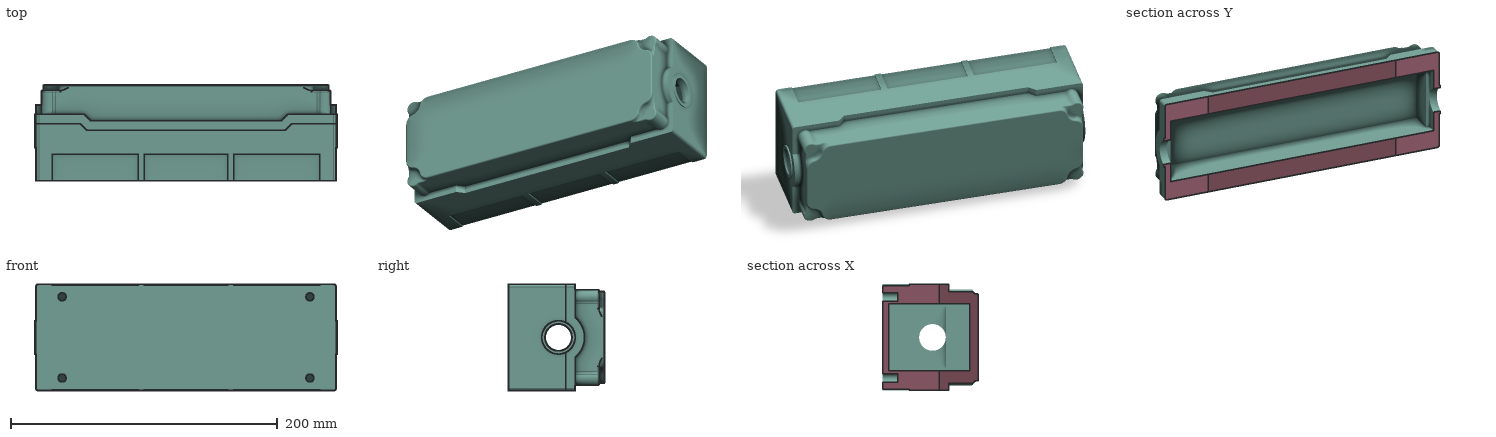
import cadquery as cq
import math

LENGTH = 227
HEIGHT = 80.0
DEPTH = 72.0
BOX_LENGTH = 225.0
BOX_CORNER_R = 2.0

FLANGE_Y = 50.0
FLANGE_WIDTH = 7.0
PARTING_Y = FLANGE_Y - FLANGE_WIDTH
STEP_DROP = 5.0
FLANGE_STEP_X = 76.3
PARTING_STEP_X = FLANGE_STEP_X + FLANGE_WIDTH * math.tan(math.pi / 8)

BORE_D = 20.0
BOSS_D = 25.0
ENTRY_Y = FLANGE_Y - BOSS_D / 2
HUMP_R = BOSS_D / 2 + FLANGE_WIDTH

BASE_WALL = 5.0
LID_WALL = 2.5
CAVITY_HEIGHT = 50.0

PANEL_RISE = 20.0
PANEL_DEPTH = 1.0
PANEL_EDGE_X = 100.0
PANEL_GAP = 4.8
MIDDLE_PANEL_X = 31.0

MOUNT_HOLE_D = 6.0
MOUNT_HOLE_DEPTH = 11.4
MOUNT_HOLE_X = 92.8
MOUNT_HOLE_Z = 30.5

LID_INSET = 5.5
LID_HALF_X = BOX_LENGTH / 2 - LID_INSET
LID_HALF_Z = HEIGHT / 2 - LID_INSET
COLUMN_R = 5.5
COLUMN_PROJECTION = 1.4
COLUMN_BLEND_R = 4.0
AXIS_INSET = COLUMN_R - COLUMN_PROJECTION
COLUMN_X = LID_HALF_X - AXIS_INSET
COLUMN_Z = LID_HALF_Z - AXIS_INSET
COLUMN_TOP_Y = 67.9
LID_EDGE_R = 1.0

SCOOP_R = 8.0
SCOOP_BLEND_R = 7.0
SCOOP_FLOOR_R = 2.0
SCOOP_OVERHANG = 4.5

ENDS = (-1, 1)
CORNERS = [(sx, sz) for sx in ENDS for sz in ENDS]


def slab(length, height, y_low, y_high):
    """Block centred on the Y axis, between two Y levels."""
    return cq.Workplane("XY").box(length, y_high - y_low, height).translate((0, (y_low + y_high) / 2, 0))


def end_cylinder(radius, x_inner, x_outer, side):
    """Cylinder on the cable entry axis at the end given by side."""
    plane = cq.Plane(origin=(side * x_inner, ENTRY_Y, 0), xDir=(0, 1, 0), normal=(side, 0, 0))
    return cq.Workplane(plane).circle(radius).extrude(x_outer - x_inner)


def bore():
    """Cable entry hole, running the whole length."""
    return cq.Workplane("YZ").center(ENTRY_Y, 0).circle(BORE_D / 2).extrude(LENGTH, both=True)


def box_below(level, step_x):
    """Rounded box from Y = 0 to a level that drops along its middle with 45 degree ramps."""
    half = BOX_LENGTH / 2
    outline = [
        (-half, 0), (half, 0), (half, level), (step_x, level),
        (step_x - STEP_DROP, level - STEP_DROP), (STEP_DROP - step_x, level - STEP_DROP),
        (-step_x, level), (-half, level),
    ]
    box = cq.Workplane("XY").polyline(outline).close().extrude(HEIGHT / 2, both=True)
    return box.edges("|Y").fillet(BOX_CORNER_R)


def entry_bosses(x_outer):
    """Round bosses of both end walls, from the inner wall face outwards."""
    left, right = (end_cylinder(BOSS_D / 2, BOX_LENGTH / 2 - BASE_WALL, x_outer, side) for side in ENDS)
    return left.union(right)


def panels():
    """Cutter for three panels on each of the two Z faces."""
    side_length = PANEL_EDGE_X - MIDDLE_PANEL_X - PANEL_GAP
    side_x = PANEL_EDGE_X - side_length / 2
    cutter = cq.Workplane("XY")
    for x, length in ((-side_x, side_length), (0, 2 * MIDDLE_PANEL_X), (side_x, side_length)):
        for side in ENDS:
            panel = slab(length, 2 * PANEL_DEPTH, 0, PANEL_RISE)
            cutter = cutter.add(panel.translate((x, 0, side * HEIGHT / 2)))
    return cutter.combine()


def make_base():
    """Open box with panels, mounting holes and a bored boss in each end wall."""
    cavity = slab(BOX_LENGTH - 2 * BASE_WALL, CAVITY_HEIGHT, BASE_WALL, DEPTH)
    base = box_below(PARTING_Y, PARTING_STEP_X).cut(cavity)
    base = base.union(entry_bosses(LENGTH / 2)).cut(bore()).cut(panels())
    mount_points = [(sx * MOUNT_HOLE_X, sz * MOUNT_HOLE_Z) for sx, sz in CORNERS]
    holes = cq.Workplane("XZ").pushPoints(mount_points).circle(MOUNT_HOLE_D / 2).extrude(-MOUNT_HOLE_DEPTH)
    return base.cut(holes)


def mirrored_to_corner(solid, sx, sz):
    """Copy of a solid at the +X +Z corner, mirrored to the corner given by the signs."""
    if sx < 0:
        solid = solid.mirror("YZ")
    if sz < 0:
        solid = solid.mirror("XY")
    return solid


def column():
    """Screw column at the +X +Z corner, blended into both lid walls."""
    reach = math.sqrt((COLUMN_R + COLUMN_BLEND_R) ** 2 - (AXIS_INSET + COLUMN_BLEND_R) ** 2)
    tangent_along = reach * COLUMN_R / (COLUMN_R + COLUMN_BLEND_R)
    tangent_out = math.sqrt(COLUMN_R**2 - tangent_along**2)
    sweep = math.atan2(reach, AXIS_INSET + COLUMN_BLEND_R)
    middle_along = reach - COLUMN_BLEND_R * math.sin(sweep / 2)
    middle_out = AXIS_INSET + COLUMN_BLEND_R * (1 - math.cos(sweep / 2))
    diagonal = COLUMN_R / math.sqrt(2)
    outline = (
        cq.Workplane("XZ")
        .moveTo(-reach, -reach)
        .lineTo(-reach, AXIS_INSET)
        .threePointArc((-middle_along, middle_out), (-tangent_along, tangent_out))
        .threePointArc((diagonal, diagonal), (tangent_out, -tangent_along))
        .threePointArc((middle_out, -middle_along), (AXIS_INSET, -reach))
        .close()
    )
    return outline.extrude(-(COLUMN_TOP_Y - PARTING_Y)).translate((COLUMN_X, PARTING_Y, COLUMN_Z))


def scoop():
    """Cutter above the column at the +X +Z corner: a round wall flaring into both lid walls."""
    centre_out = AXIS_INSET - SCOOP_BLEND_R
    centre_along = math.sqrt((SCOOP_R + SCOOP_BLEND_R) ** 2 - centre_out**2)
    ratio = SCOOP_R / (SCOOP_R + SCOOP_BLEND_R)
    tangent = (centre_out * ratio, -centre_along * ratio)
    half_sweep = math.atan2(centre_along, -centre_out) / 2
    flare_middle = (
        centre_out + SCOOP_BLEND_R * math.cos(half_sweep),
        SCOOP_BLEND_R * math.sin(half_sweep) - centre_along,
    )
    diagonal = -SCOOP_R / math.sqrt(2)
    edge = AXIS_INSET + SCOOP_OVERHANG
    outline = (
        cq.Workplane("XZ")
        .moveTo(edge, edge)
        .lineTo(edge, -centre_along)
        .lineTo(AXIS_INSET, -centre_along)
        .threePointArc(flare_middle, tangent)
        .threePointArc((diagonal, diagonal), tangent[::-1])
        .threePointArc(flare_middle[::-1], (-centre_along, AXIS_INSET))
        .lineTo(-centre_along, edge)
        .close()
    )
    cutter = outline.extrude(-(DEPTH - COLUMN_TOP_Y))
    cutter = cutter.edges("<Y").edges("%CIRCLE").fillet(SCOOP_FLOOR_R)
    floor = cutter.faces("<Y").val()
    foot = cq.Solid.extrudeLinear(floor, cq.Vector(0, -LID_EDGE_R, 0))
    return cutter.union(cq.Workplane(foot)).translate((COLUMN_X, COLUMN_TOP_Y, COLUMN_Z))


def raised_part():
    """Raised part of the lid: column storey with rounded rim, and the scooped storey above it."""
    low_y = PARTING_Y - STEP_DROP
    columns = slab(2 * LID_HALF_X, 2 * LID_HALF_Z, low_y, COLUMN_TOP_Y).edges("|Y").fillet(AXIS_INSET)
    top = slab(2 * LID_HALF_X, 2 * LID_HALF_Z, COLUMN_TOP_Y - LID_EDGE_R, DEPTH)
    for sx, sz in CORNERS:
        columns = columns.union(mirrored_to_corner(column(), sx, sz))
        top = top.cut(mirrored_to_corner(scoop(), sx, sz))
    columns = columns.faces(">Y").edges().fillet(LID_EDGE_R)
    top = top.faces(">Y").edges().fillet(LID_EDGE_R)
    return columns.union(top)


def make_lid():
    """Cover with flange, end humps and raised part, recessed to seat on the base and its bosses."""
    flange = box_below(FLANGE_Y, FLANGE_STEP_X)
    for side in ENDS:
        flange = flange.union(end_cylinder(HUMP_R, LID_HALF_X - LID_WALL, BOX_LENGTH / 2, side))
    lid = raised_part().union(flange)
    cavity = slab(2 * (LID_HALF_X - LID_WALL), CAVITY_HEIGHT, 0, COLUMN_TOP_Y - LID_WALL)
    flange_cavity = slab(BOX_LENGTH - 2 * BASE_WALL, CAVITY_HEIGHT, 0, FLANGE_Y - LID_WALL)
    lid = lid.cut(cavity.union(flange_cavity))
    return lid.cut(box_below(PARTING_Y, PARTING_STEP_X)).cut(entry_bosses(BOX_LENGTH / 2))


base = make_base()
lid = make_lid()
result = cq.Compound.makeCompound([base.solids().val(), lid.solids().val()])